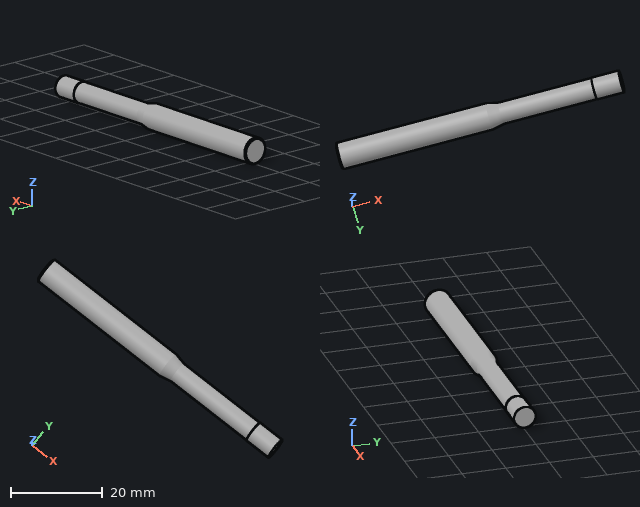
import cadquery as cq

total_length = 64.0
shank_length = 34.1
taper_length = 2.6
tip_length = 6.15
end_chamfer = 0.25

shank_diameter = 6.0
neck_diameter = 4.85
tip_diameter = 5.0

taper_end = shank_length + taper_length
tip_start = total_length - tip_length
shank_radius = shank_diameter / 2
neck_radius = neck_diameter / 2
tip_radius = tip_diameter / 2

profile = (
    cq.Workplane("XY")
    .moveTo(0, 0)
    .lineTo(0, shank_radius - end_chamfer)
    .lineTo(end_chamfer, shank_radius)
    .lineTo(shank_length, shank_radius)
    .lineTo(taper_end, neck_radius)
    .lineTo(tip_start, neck_radius)
    .lineTo(tip_start, tip_radius)
    .lineTo(total_length, tip_radius)
    .lineTo(total_length, 0)
    .close()
)

result = profile.revolve(360, (0, 0, 0), (1, 0, 0))